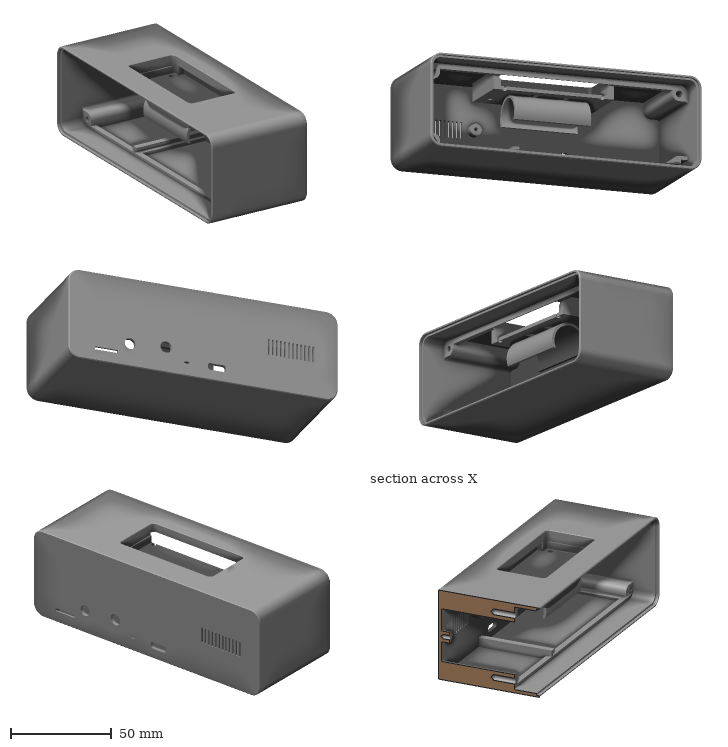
import cadquery as cq

LENGTH, DEPTH, HEIGHT = 144.0, 56.0, 48.0
WALL = 2.0
CORNER_RADIUS = 6.0
EDGE_CHAMFER = 0.5
OVERLAP = 0.1

FRONT, BACK = -DEPTH / 2, DEPTH / 2
INNER_X = LENGTH / 2 - WALL
INNER_Z = HEIGHT / 2 - WALL
INNER_BACK = BACK - WALL

RIM_REBATE_DEPTH = 1.6
RIM_WALL = WALL / 2

FRONT_RECESS_DEPTH = 13.8
LIP_WIDTH = 3.0
FLOOR_LIP_HEIGHT, ROOF_LIP_HEIGHT = 1.9, 2.7
LIP_FRONT = FRONT + FRONT_RECESS_DEPTH
LIP_BACK = LIP_FRONT + LIP_WIDTH
FLOOR_LIP_TOP = -INNER_Z + FLOOR_LIP_HEIGHT
ROOF_LIP_BOTTOM = INNER_Z - ROOF_LIP_HEIGHT

POST_X, POST_Z = 65.4, 17.5
POST_RADIUS = 3.6
POST_FOOT_RADIUS = 1.5
POST_HOLE = 2.9
POST_HOLE_WIDE = 3.5
POST_HOLE_DEPTH = 11.5

BOARD_THICKNESS = 1.7
BOARD_TOP = FLOOR_LIP_TOP + BOARD_THICKNESS
BOARD_LEFT, BOARD_RIGHT = -21.5, 68.8
RAIL_THICKNESS = 1.5
RAIL_HOOK_REACH = 1.9
LEFT_STRIP_REACH = 2.3
RIGHT_STRIP_X = 61.5
STRIP_CHAMFER = 0.5
POST_NOTCH_X = 66.2
POST_NOTCH_TOP = -15.8

OPENING_X, OPENING_Y = 58.2, 27.0
OPENING_RADIUS = 2.0
OPENING_CHAMFER = 0.3
TRAY_OUTER_X = 63.9
TRAY_INNER_X = 56.6
TRAY_BOTTOM, TRAY_FLOOR = 12.4, 14.1
TRAY_LEDGE = 18.0
TRAY_FLOOR_FILLET = 0.5
TRAY_RECESS_X, TRAY_RECESS_DEPTH = 49.2, 3.3
TRAY_BACK_WALL = 1.9
TRAY_HOLE, TRAY_HOLE_X, TRAY_HOLE_Y = 2.5, 25.9, 10.1

CLIP_LENGTH = 40.5
CLIP_RADIUS, CLIP_THICKNESS = 10.4, 1.5
CLIP_Y, CLIP_Z = 0.5, 2.2
CLIP_BOTTOM = -1.6
STRAP_WIDTH, STRAP_X = 4.3, 8.0
STRAP_SKIN = 0.09

VENT_COUNT, VENT_SPAN = 12, 23.9
VENT_PITCH = VENT_SPAN / (VENT_COUNT - 1)
VENT_WIDTH, VENT_HEIGHT = 1.0, 8.6
VENT_X, VENT_Z = -47.1, -0.65
BOSS_SPACING = 36.5
BOSS_DIAMETER, BOSS_HOLE, BOSS_HEIGHT = 6.0, 2.0, 4.3
BOSS_HOLE_DEPTH = 3.6
ROUND_OPENINGS = [(19.9, -10.2, 6.0), (39.2, -11.7, 5.8)]
USB_X, USB_Z, USB_WIDTH, USB_HEIGHT, USB_RADIUS = -7.3, -16.7, 9.6, 3.6, 1.5
LED_X, LED_Z, LED_WIDTH, LED_HEIGHT = 8.8, -16.7, 2.7, 1.0
CARD_X0, CARD_X1, CARD_Z0, CARD_Z1 = 43.3, 58.7, -18.6, -15.8
CARD_SLOT_X0, CARD_SLOT_X1, CARD_SLOT_Z0, CARD_SLOT_Z1 = 45.8, 57.9, -18.0, -16.4
CARD_POCKET_DEPTH = 1.0


def block(x0, x1, y0, y1, z0, z1):
    """Axis-aligned box between two opposite corners."""
    return cq.Workplane("XY").box(x1 - x0, y1 - y0, z1 - z0, centered=False).translate((x0, y0, z0))


def front_plane(y_back, x=0.0, z=0.0):
    """Sketch plane facing the front; extruding from it goes towards -Y."""
    return cq.Workplane("XZ", origin=(x, y_back, z))


def rounded_prism(inset, y0, y1):
    """Prism with the case outline moved inwards by `inset`."""
    return (
        front_plane(y1)
        .rect(LENGTH - 2 * inset, HEIGHT - 2 * inset)
        .extrude(y1 - y0)
        .edges("|Y")
        .fillet(CORNER_RADIUS - inset)
    )


def blind_hole(x, z, diameter, y_front, depth):
    """Drilled hole going towards +Y, ending in a right-angled cone."""
    radius = diameter / 2
    straight = front_plane(y_front + depth, x, z).circle(radius).extrude(depth + OVERLAP)
    tip = cq.Solid.makeCone(radius, 0, radius, cq.Vector(x, y_front + depth, z), cq.Vector(0, 1, 0))
    return straight.union(cq.Workplane(tip))


def case_shell():
    outer = rounded_prism(0, FRONT, BACK).faces("<Y or >Y").edges().chamfer(EDGE_CHAMFER)
    cavity = rounded_prism(WALL, FRONT - OVERLAP, INNER_BACK)
    rebate = rounded_prism(RIM_WALL, FRONT - OVERLAP, FRONT + RIM_REBATE_DEPTH)
    return outer.cut(cavity).cut(rebate)


def lip_bars():
    floor_bar = block(-INNER_X, INNER_X, LIP_FRONT, LIP_BACK, -INNER_Z, FLOOR_LIP_TOP)
    roof_bar = block(-INNER_X, INNER_X, LIP_FRONT, LIP_BACK, ROOF_LIP_BOTTOM, INNER_Z)
    return floor_bar.union(roof_bar)


def screw_post(side_x, side_z, foot=POST_FOOT_RADIUS):
    """Corner post with a rounded nose; `foot` is the fillet where it meets the side wall."""
    nose_x, nose_z = POST_X - POST_RADIUS, POST_Z - POST_RADIUS
    outline = (
        front_plane(INNER_BACK)
        .moveTo(INNER_X, INNER_Z)
        .lineTo(nose_x, INNER_Z)
        .lineTo(nose_x, POST_Z)
        .radiusArc((POST_X, nose_z), -POST_RADIUS)
        .lineTo(INNER_X - foot, nose_z)
    )
    if foot > 0:
        outline = outline.radiusArc((INNER_X, nose_z - foot), foot)
    post = outline.close().extrude(INNER_BACK - LIP_FRONT)
    if side_x < 0:
        post = post.mirror("YZ")
    if side_z < 0:
        post = post.mirror("XY")
    return post


def notched_post():
    """Lower right post, cut away below and around the board edge."""
    post = screw_post(1, -1, foot=0)
    board = block(0, BOARD_RIGHT, FRONT, INNER_BACK, -INNER_Z, BOARD_TOP)
    notch = block(POST_NOTCH_X, INNER_X, FRONT, INNER_BACK, BOARD_TOP, POST_NOTCH_TOP)
    return post.cut(board).cut(notch)


def board_supports():
    y0, y1 = LIP_FRONT, INNER_BACK
    rail_top = BOARD_TOP + RAIL_THICKNESS
    rail_left = BOARD_LEFT - RAIL_THICKNESS
    rail = block(rail_left, BOARD_LEFT, y0, y1, -INNER_Z, rail_top)
    hook = block(rail_left, BOARD_LEFT + RAIL_HOOK_REACH, y0, y1, BOARD_TOP, rail_top)
    left_strip = block(rail_left, BOARD_LEFT + LEFT_STRIP_REACH, y0, y1, -INNER_Z, FLOOR_LIP_TOP)
    right_strip = block(RIGHT_STRIP_X, INNER_X, LIP_BACK, y1, -INNER_Z, FLOOR_LIP_TOP)
    right_strip = right_strip.edges("<X and >Z").chamfer(STRIP_CHAMFER)
    return rail.union(hook).union(left_strip).union(right_strip)


def tray_block():
    back = OPENING_Y / 2 + TRAY_RECESS_DEPTH + TRAY_BACK_WALL
    return block(-TRAY_OUTER_X / 2, TRAY_OUTER_X / 2, LIP_BACK, back, TRAY_BOTTOM, INNER_Z)


def tray_cavity():
    half_y = OPENING_Y / 2
    ledge_width = (OPENING_X - TRAY_INNER_X) / 2
    opening = (
        cq.Workplane("XY", origin=(0, 0, TRAY_LEDGE))
        .rect(OPENING_X, OPENING_Y)
        .extrude(HEIGHT / 2 - TRAY_LEDGE)
        .edges("|Z")
        .fillet(OPENING_RADIUS)
    )
    bevel = (
        cq.Workplane("XY", origin=(0, 0, HEIGHT / 2))
        .sketch()
        .rect(OPENING_X + 2 * OPENING_CHAMFER, OPENING_Y + 2 * OPENING_CHAMFER)
        .vertices()
        .fillet(OPENING_RADIUS + OPENING_CHAMFER)
        .finalize()
        .extrude(-OPENING_CHAMFER, taper=45)
    )
    lower = (
        block(-TRAY_INNER_X / 2, TRAY_INNER_X / 2, -half_y, half_y, TRAY_FLOOR, TRAY_LEDGE)
        .edges("|Z")
        .fillet(OPENING_RADIUS - ledge_width)
        .faces("<Z")
        .edges()
        .fillet(TRAY_FLOOR_FILLET)
    )
    recess_x = TRAY_RECESS_X / 2
    recess = block(-recess_x, recess_x, 0, half_y + TRAY_RECESS_DEPTH, TRAY_FLOOR, ROOF_LIP_BOTTOM)
    return opening.union(bevel).union(lower).union(recess)


def tray_holes():
    return (
        cq.Workplane("XY", origin=(0, 0, TRAY_BOTTOM))
        .rect(2 * TRAY_HOLE_X, 2 * TRAY_HOLE_Y, forConstruction=True)
        .vertices()
        .circle(TRAY_HOLE / 2)
        .extrude(TRAY_FLOOR - TRAY_BOTTOM)
    )


def clip_ring(outer_radius, inner_radius, x_centre, width):
    """Ring around the battery axis, which runs along X."""
    return (
        cq.Workplane("YZ", origin=(x_centre - width / 2, CLIP_Y, CLIP_Z))
        .circle(outer_radius)
        .circle(inner_radius)
        .extrude(width)
    )


def battery_clip():
    ring = clip_ring(CLIP_RADIUS, CLIP_RADIUS - CLIP_THICKNESS, 0, CLIP_LENGTH)
    below = block(-CLIP_LENGTH, CLIP_LENGTH, FRONT, BACK, -HEIGHT, CLIP_BOTTOM)
    return ring.cut(below)


def strap_groove(x_centre):
    return clip_ring(TRAY_FLOOR - STRAP_SKIN - CLIP_Z, CLIP_RADIUS, x_centre, STRAP_WIDTH)


def wall_cutter(x, z):
    return front_plane(BACK + OVERLAP, x, z)


def back_openings():
    through = WALL + 2 * OVERLAP
    cuts = wall_cutter(USB_X, USB_Z).rect(USB_WIDTH, USB_HEIGHT).extrude(through)
    cuts = cuts.edges("|Y").fillet(USB_RADIUS)
    cuts = cuts.union(wall_cutter(LED_X, LED_Z).slot2D(LED_WIDTH, LED_HEIGHT).extrude(through))
    for x, z, diameter in ROUND_OPENINGS:
        cuts = cuts.union(wall_cutter(x, z).circle(diameter / 2).extrude(through))
    first_vent = VENT_X - VENT_SPAN / 2
    for i in range(VENT_COUNT):
        vent = wall_cutter(first_vent + i * VENT_PITCH, VENT_Z).slot2D(VENT_HEIGHT, VENT_WIDTH, 90)
        cuts = cuts.union(vent.extrude(through))
    card_pocket = block(
        CARD_X0, CARD_X1, INNER_BACK - OVERLAP, INNER_BACK + CARD_POCKET_DEPTH, CARD_Z0, CARD_Z1
    )
    card_slot = block(
        CARD_SLOT_X0, CARD_SLOT_X1, INNER_BACK, BACK + OVERLAP, CARD_SLOT_Z0, CARD_SLOT_Z1
    )
    return cuts.union(card_pocket).union(card_slot)


result = case_shell()

inside = lip_bars().union(notched_post()).union(board_supports()).union(tray_block())
for sides in [(-1, 1), (1, 1), (-1, -1)]:
    inside = inside.union(screw_post(*sides))
inside = inside.intersect(rounded_prism(WALL / 2, FRONT, BACK - WALL / 2))
result = result.union(inside)

result = result.cut(tray_cavity()).cut(tray_holes())
result = result.union(battery_clip())
for x in (-STRAP_X, STRAP_X):
    result = result.cut(strap_groove(x))

for x in (VENT_X - BOSS_SPACING / 2, VENT_X + BOSS_SPACING / 2):
    boss = front_plane(INNER_BACK, x, VENT_Z).circle(BOSS_DIAMETER / 2).extrude(BOSS_HEIGHT)
    hole = blind_hole(x, VENT_Z, BOSS_HOLE, INNER_BACK - BOSS_HEIGHT, BOSS_HOLE_DEPTH)
    result = result.union(boss).cut(hole)

for x, z, diameter in [
    (-POST_X, POST_Z, POST_HOLE),
    (-POST_X, -POST_Z, POST_HOLE),
    (POST_X, POST_Z, POST_HOLE_WIDE),
]:
    result = result.cut(blind_hole(x, z, diameter, LIP_FRONT, POST_HOLE_DEPTH))

result = result.cut(back_openings())